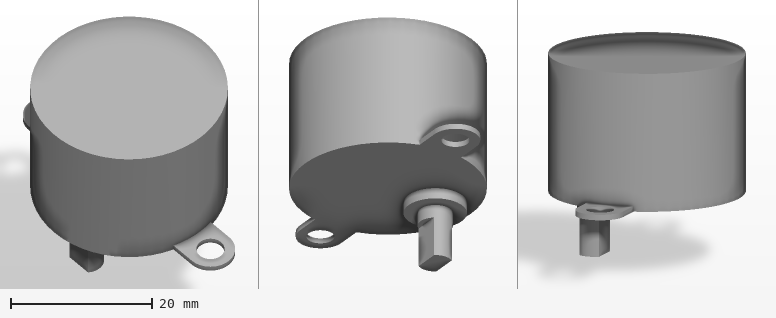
import cadquery as cq

OVERALL_LENGTH = 42.0
HOUSING_DIAMETER = 28.0
HOUSING_HEIGHT = 20.0
EAR_WIDTH = 7.0
EAR_THICKNESS = 0.8
EAR_HOLE_DIAMETER = 4.0
EAR_HOLE_SPACING = OVERALL_LENGTH - EAR_WIDTH

SHAFT_OFFSET_Y = -8.0
BUSHING_DIAMETER = 9.0
BUSHING_HEIGHT = 1.65
SHAFT_DIAMETER = 5.0
SHAFT_ROUND_LENGTH = 2.0
SHAFT_FLAT_LENGTH = 6.0
SHAFT_ACROSS_FLATS = 3.0

BUSHING_BOTTOM = -BUSHING_HEIGHT
FLATS_TOP = BUSHING_BOTTOM - SHAFT_ROUND_LENGTH


def make_housing():
    """Cylindrical can joined to a pair of round-ended ears with screw holes."""
    can = cq.Workplane("XY").circle(HOUSING_DIAMETER / 2).extrude(HOUSING_HEIGHT)
    ears = cq.Workplane("XY").slot2D(OVERALL_LENGTH, EAR_WIDTH).extrude(EAR_THICKNESS)
    screw_holes = (
        cq.Workplane("XY")
        .pushPoints([(-EAR_HOLE_SPACING / 2, 0), (EAR_HOLE_SPACING / 2, 0)])
        .circle(EAR_HOLE_DIAMETER / 2)
        .extrude(EAR_THICKNESS)
    )
    return can.union(ears.cut(screw_holes))


def make_bushing():
    """Round boss seated on the lower face of the housing."""
    return (
        cq.Workplane("XY")
        .center(0, SHAFT_OFFSET_Y)
        .circle(BUSHING_DIAMETER / 2)
        .extrude(-BUSHING_HEIGHT)
    )


def make_shaft():
    """Round shaft below the bushing, its end milled with two opposite flats."""
    round_part = (
        cq.Workplane("XY", origin=(0, SHAFT_OFFSET_Y, BUSHING_BOTTOM))
        .circle(SHAFT_DIAMETER / 2)
        .extrude(-SHAFT_ROUND_LENGTH)
    )
    flats_plane = cq.Workplane("XY", origin=(0, SHAFT_OFFSET_Y, FLATS_TOP))
    flat_limits = flats_plane.rect(SHAFT_DIAMETER, SHAFT_ACROSS_FLATS).extrude(-SHAFT_FLAT_LENGTH)
    flatted_end = flats_plane.circle(SHAFT_DIAMETER / 2).extrude(-SHAFT_FLAT_LENGTH).intersect(flat_limits)
    return round_part.union(flatted_end)


housing = make_housing()
bushing = make_bushing()
shaft = make_shaft()

result = cq.Compound.makeCompound([housing.val(), bushing.val(), shaft.val()])